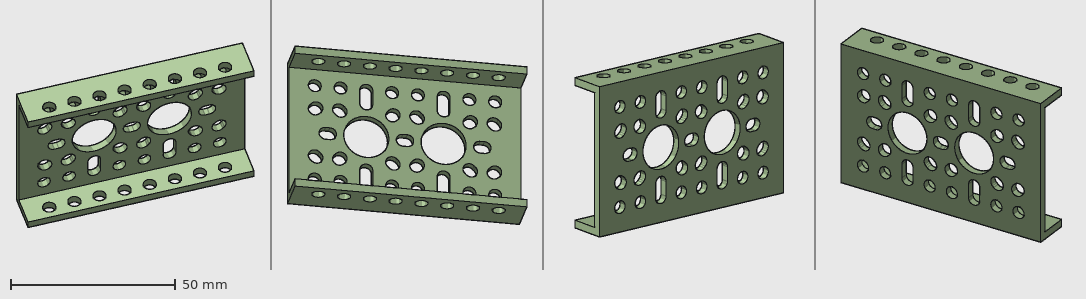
import cadquery as cq
import math

length = 72.0
pitch = length / 9
height = 6 * pitch
depth = 1.5 * pitch
thickness = 2.5

hole_diameter = pitch / 2
bore_diameter = 14.0
bore_spacing = 3 * pitch
row_height = 2 * pitch
inner_radius = math.sqrt(2) * pitch
outer_radius = bore_spacing / 2

bore_positions = [-bore_spacing / 2, bore_spacing / 2]
column_count = 8
middle_index = (column_count - 1) / 2
column_positions = [(index - middle_index) * pitch for index in range(column_count)]
slotted_columns = (2, 5)


def make_channel():
    outer = cq.Workplane("XY").box(depth, length, height, centered=(False, True, True))
    inner = (
        cq.Workplane("XY")
        .box(depth, length, height - 2 * thickness, centered=(False, True, True))
        .translate((thickness, 0, 0))
    )
    return outer.cut(inner)


def web_holes(points, diameter):
    """Cylinders along X through the web at the given (y, z) points."""
    return cq.Workplane("YZ").pushPoints(points).circle(diameter / 2).extrude(thickness)


def web_slot(start, end):
    """Round-ended cutter through the web between two (y, z) end centres."""
    span_y = end[0] - start[0]
    span_z = end[1] - start[1]
    middle = ((start[0] + end[0]) / 2, (start[1] + end[1]) / 2)
    slot_length = math.hypot(span_y, span_z) + hole_diameter
    angle = math.degrees(math.atan2(span_z, span_y))
    return (
        cq.Workplane("YZ")
        .center(*middle)
        .slot2D(slot_length, hole_diameter, angle)
        .extrude(thickness)
    )


def cut_bores(part):
    return part.cut(web_holes([(y, 0) for y in bore_positions], bore_diameter))


def cut_outer_rows(part):
    """Plain holes in every column except those holding a vertical slot."""
    plain_columns = [y for index, y in enumerate(column_positions) if index not in slotted_columns]
    points = [(y, side * row_height) for y in plain_columns for side in (-1, 1)]
    return part.cut(web_holes(points, hole_diameter))


def cut_vertical_slots(part):
    for y in bore_positions:
        for side in (-1, 1):
            part = part.cut(web_slot((y, side * inner_radius), (y, side * row_height)))
    return part


def cut_diagonal_slots(part):
    """Short 45 degree slots, pointing at the bore axis or at the middle of a web end."""
    near = inner_radius / math.sqrt(2)
    far = outer_radius / math.sqrt(2)
    centres = [(y, (-1, 1)) for y in bore_positions]
    centres += [(-length / 2, (1,)), (length / 2, (-1,))]
    for y, directions in centres:
        for direction in directions:
            for side in (-1, 1):
                start = (y + direction * near, side * near)
                end = (y + direction * far, side * far)
                part = part.cut(web_slot(start, end))
    return part


def cut_horizontal_slots(part):
    """Slots on the centre line, midway between neighbouring pattern centres."""
    half_span = outer_radius - inner_radius
    for y in (-bore_spacing, 0, bore_spacing):
        part = part.cut(web_slot((y - half_span, 0), (y + half_span, 0)))
    return part


def cut_flange_holes(part):
    """One row of holes running through both flanges."""
    drills = (
        cq.Workplane("XY")
        .workplane(offset=-height / 2)
        .pushPoints([(pitch, y) for y in column_positions])
        .circle(hole_diameter / 2)
        .extrude(height)
    )
    return part.cut(drills)


result = make_channel()
result = cut_bores(result)
result = cut_outer_rows(result)
result = cut_vertical_slots(result)
result = cut_diagonal_slots(result)
result = cut_horizontal_slots(result)
result = cut_flange_holes(result)